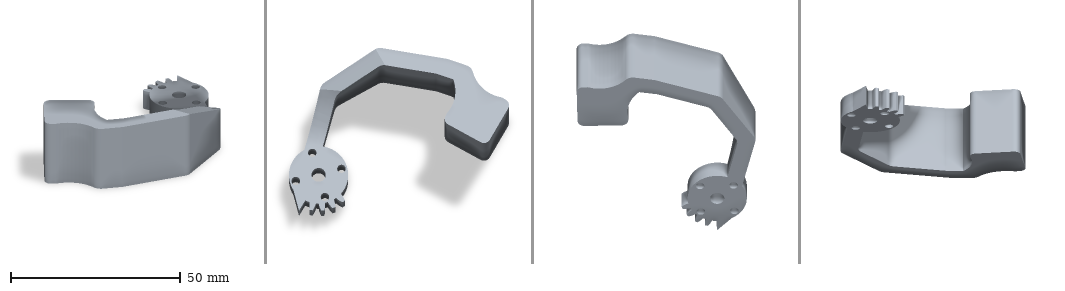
import cadquery as cq
import math

part_height = 20.0
hub_height = 6.0

gear_module = 1.0
full_tooth_count = 20
pitch_radius = gear_module * full_tooth_count / 2
dedendum = 1.25 * gear_module
root_radius = pitch_radius - dedendum
tip_radius = pitch_radius + gear_module
tooth_pitch = 360.0 / full_tooth_count
tooth_numbers = (-1.5, -0.5, 0.5, 1.5)
root_half_angle = 6.4
pitch_half_angle = tooth_pitch / 4
tip_half_angle = 2.3
root_overlap = 1.0

horn_root_angle = 42.2
horn_tip = (-9.0, 8.5)
horn_top_end_angle = 73.5

bore_diameter = 4.2
screw_hole_diameter = 2.5
screw_circle_radius = 7.0
screw_hole_count = 4

arm_width = 5.0
wrist_leg_width = 5.35
neck_width = 6.15
bend_radius = 3.0
arm_start = (5.0, 1.2)
shoulder = (22.33, -9.19)
elbow = (26.57, -26.1)
wrist = (18.65, -42.95)
neck_bend = (14.96, -48.25)

pad_side = 15.0
pad_turn = 45.0
pad_corner_radius = 2.0
pad_center = (2.4, -49.18)
scallop_radius = 10.5
upper_scallop_x = 13.1
lower_scallop_x = 14.3
scallop_block_height = 14.0
scallop_block_start = 5.0

ramp_angle = 20.3
ramp_length = 24.0
sweep_direction = -40.5
sweep_start = 7.26
lower_sweep_radius = 16.1
sweep_slope = 27.6
sweep_straight = 2.3
upper_sweep_radius = 24.0
sweep_end_slope = 55.0
cut_reach = 100.0
cut_clearance = 5.0
cut_top = part_height + cut_clearance


def polar(radius, angle):
    """Point at an angle measured clockwise, seen from above, from the -X axis."""
    a = math.radians(angle)
    return (-radius * math.cos(a), radius * math.sin(a))


def direction_angle(start, end):
    return math.atan2(end[1] - start[1], end[0] - start[0])


def shifted_corner(before, corner, after, shift_before, shift_after):
    """Corner of a path whose two legs are shifted to the left by the given distances."""
    a = direction_angle(before, corner)
    b = direction_angle(corner, after)
    turn = math.sin(b - a)
    x = corner[0] + (shift_before * math.cos(b) - shift_after * math.cos(a)) / turn
    y = corner[1] + (shift_before * math.sin(b) - shift_after * math.sin(a)) / turn
    return (x, y)


def make_tooth(center_angle):
    def flank(radius, half_angle):
        return polar(radius, center_angle + half_angle)

    return (
        cq.Workplane("XY")
        .moveTo(*flank(root_radius - root_overlap, -root_half_angle))
        .lineTo(*flank(root_radius, -root_half_angle))
        .threePointArc(flank(pitch_radius, -pitch_half_angle), flank(tip_radius, -tip_half_angle))
        .threePointArc(flank(tip_radius, 0), flank(tip_radius, tip_half_angle))
        .threePointArc(flank(pitch_radius, pitch_half_angle), flank(root_radius, root_half_angle))
        .lineTo(*flank(root_radius - root_overlap, root_half_angle))
        .close()
        .extrude(hub_height)
    )


def make_horn():
    outline = [
        (0, 0),
        polar(root_radius, horn_root_angle),
        horn_tip,
        polar(root_radius, horn_top_end_angle),
    ]
    return cq.Workplane("XY").polyline(outline).close().extrude(hub_height)


def make_hub():
    hub = cq.Workplane("XY").circle(root_radius).extrude(part_height)
    for number in tooth_numbers:
        hub = hub.union(make_tooth(number * tooth_pitch))
    return hub.union(make_horn())


def make_arm():
    path = [arm_start, shoulder, elbow, wrist, neck_bend, (pad_center[0], neck_bend[1])]
    leg_widths = (arm_width, arm_width, arm_width, wrist_leg_width, neck_width)
    half_widths = [width / 2 for width in leg_widths]

    def edge_points(side):
        start_normal = direction_angle(path[0], path[1]) + math.pi / 2
        shift = side * half_widths[0]
        points = [(path[0][0] + shift * math.cos(start_normal), path[0][1] + shift * math.sin(start_normal))]
        for i in range(1, len(path) - 1):
            points.append(
                shifted_corner(*path[i - 1:i + 2], side * half_widths[i - 1], side * half_widths[i])
            )
        points.append((path[-1][0], path[-1][1] - side * half_widths[-1]))
        return points

    outer = edge_points(1)
    inner = edge_points(-1)
    arm = cq.Workplane("XY").polyline(outer + inner[::-1]).close().extrude(part_height)
    for x, y in (outer[1], outer[2], outer[4], inner[1], inner[2]):
        bend_edge = cq.selectors.NearestToPointSelector((x, y, part_height / 2))
        arm = arm.edges("|Z").edges(bend_edge).fillet(bend_radius)
    return arm


def make_pad():
    pad = (
        cq.Workplane("XY")
        .rect(pad_side, pad_side)
        .extrude(part_height)
        .edges("|Z")
        .fillet(pad_corner_radius)
        .rotate((0, 0, 0), (0, 0, 1), pad_turn)
        .translate((*pad_center, 0))
    )
    block_length = lower_scallop_x - scallop_block_start
    block = (
        cq.Workplane("XY")
        .center(scallop_block_start + block_length / 2, pad_center[1])
        .rect(block_length, scallop_block_height)
        .extrude(part_height)
    )
    scallop_offset = neck_width / 2 + scallop_radius
    scallops = (
        cq.Workplane("XY")
        .pushPoints(
            [
                (upper_scallop_x, neck_bend[1] + scallop_offset),
                (lower_scallop_x, neck_bend[1] - scallop_offset),
            ]
        )
        .circle(scallop_radius)
        .extrude(part_height)
    )
    return pad.union(block).cut(scallops)


def upright_plane(origin, angle):
    """Vertical plane whose local x runs along a horizontal direction and local y is up."""
    x_dir = (math.cos(angle), math.sin(angle), 0)
    return cq.Plane(origin=(*origin, 0), xDir=x_dir, normal=(x_dir[1], -x_dir[0], 0))


def make_ramp_cut():
    """Everything above the straight ramp that falls from the elbow towards the hub."""
    plane = upright_plane(elbow, direction_angle(shoulder, elbow))
    drop = ramp_length * math.tan(math.radians(ramp_angle))
    return (
        cq.Workplane(plane)
        .moveTo(0, part_height)
        .lineTo(-ramp_length, part_height - drop)
        .lineTo(-ramp_length, cut_top)
        .lineTo(0, cut_top)
        .close()
        .extrude(cut_reach, both=True)
    )


def make_sweep_cut():
    """Everything above the hub top and the two arcs that climb from it along the arm."""
    slope = math.radians(sweep_slope)
    end_slope = math.radians(sweep_end_slope)

    def on_arc(start, radius, from_slope, to_slope):
        x = start[0] + radius * (math.sin(to_slope) - math.sin(from_slope))
        z = start[1] + radius * (math.cos(from_slope) - math.cos(to_slope))
        return (x, z)

    foot = (sweep_start, hub_height)
    lower_mid = on_arc(foot, lower_sweep_radius, 0, slope / 2)
    lower_end = on_arc(foot, lower_sweep_radius, 0, slope)
    upper_start = (
        lower_end[0] + sweep_straight * math.cos(slope),
        lower_end[1] + sweep_straight * math.sin(slope),
    )
    upper_mid = on_arc(upper_start, upper_sweep_radius, slope, (slope + end_slope) / 2)
    upper_end = on_arc(upper_start, upper_sweep_radius, slope, end_slope)
    return (
        cq.Workplane(upright_plane((0, 0), math.radians(sweep_direction)))
        .moveTo(-cut_reach, hub_height)
        .lineTo(*foot)
        .threePointArc(lower_mid, lower_end)
        .lineTo(*upper_start)
        .threePointArc(upper_mid, upper_end)
        .lineTo(upper_end[0], cut_top)
        .lineTo(-cut_reach, cut_top)
        .close()
        .extrude(cut_reach, both=True)
    )


def make_hub_holes():
    bore = cq.Workplane("XY").circle(bore_diameter / 2).extrude(part_height)
    screw_holes = (
        cq.Workplane("XY")
        .polarArray(screw_circle_radius, 0, 360, screw_hole_count)
        .circle(screw_hole_diameter / 2)
        .extrude(part_height)
    )
    return bore.union(screw_holes)


body = make_hub().union(make_arm()).union(make_pad())
result = body.cut(make_ramp_cut()).cut(make_sweep_cut()).cut(make_hub_holes())